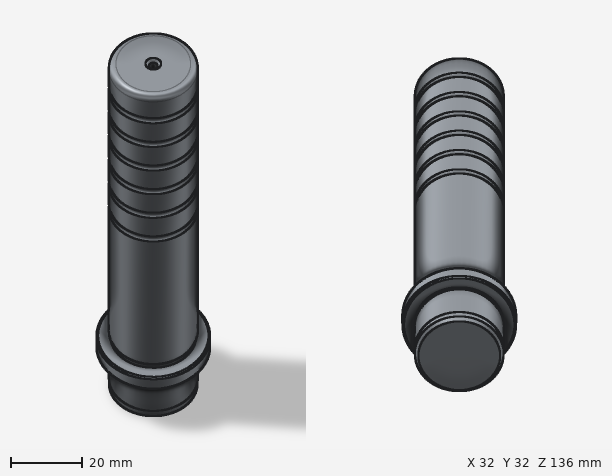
import cadquery as cq
import math

length = 136.0
shaft_radius = 12.5
top_fillet = 2.0

groove_count = 6
groove_pitch = 10.0
groove_half_width = 1.1
groove_depth = 0.44

flange_diameter = 32.0
flange_bottom = 16.0
flange_thickness = 5.0
flange_chamfer = 0.5

upper_neck_depth = 0.4
lower_neck_depth = 0.5
upper_neck_height = 2.0
lower_neck_height = 1.1
upper_neck_taper = 0.7
lower_neck_taper = 0.3

lead_height = 3.3
lead_depth = 0.04
bottom_chamfer = 1.0

hole_mouth_radius = 2.2
hole_radius = 1.2
hole_cone_angle = 90.0
hole_depth = 4.1
drill_point_angle = 118.0


def cone_height(radial_change, included_angle):
    """Axial height of a cone over a given change of radius."""
    return radial_change / math.tan(math.radians(included_angle / 2))


def make_pin():
    """Turned body with flange, relief necks and lead-in at the bottom."""
    flange_radius = flange_diameter / 2
    flange_top = flange_bottom + flange_thickness
    upper_neck_radius = shaft_radius - upper_neck_depth
    lower_neck_radius = shaft_radius - lower_neck_depth
    lead_radius = shaft_radius - lead_depth
    lower_neck_start = flange_bottom - lower_neck_height
    upper_neck_end = flange_top + upper_neck_height
    outline = [
        (0, 0),
        (lead_radius - bottom_chamfer, 0),
        (lead_radius, bottom_chamfer),
        (lead_radius, lead_height),
        (shaft_radius, lead_height),
        (shaft_radius, lower_neck_start),
        (lower_neck_radius, lower_neck_start),
        (lower_neck_radius, flange_bottom - lower_neck_taper),
        (shaft_radius, flange_bottom),
        (flange_radius - flange_chamfer, flange_bottom),
        (flange_radius, flange_bottom + flange_chamfer),
        (flange_radius, flange_top - flange_chamfer),
        (flange_radius - flange_chamfer, flange_top),
        (upper_neck_radius, flange_top),
        (upper_neck_radius, upper_neck_end - upper_neck_taper),
        (shaft_radius, upper_neck_end),
        (shaft_radius, length),
        (0, length),
    ]
    body = cq.Workplane("XZ").polyline(outline).close().revolve(360, (0, 0), (0, 1))
    return body.faces(">Z").edges().fillet(top_fillet)


def make_groove(height):
    """Ring that cuts one shallow arc groove centred at the given height."""
    return (
        cq.Workplane("XZ")
        .moveTo(shaft_radius, height - groove_half_width)
        .threePointArc(
            (shaft_radius - groove_depth, height),
            (shaft_radius, height + groove_half_width),
        )
        .close()
        .revolve(360, (0, 0), (0, 1))
    )


def make_centre_hole():
    """Countersunk blind hole with a conical drill point."""
    countersink = cone_height(hole_mouth_radius - hole_radius, hole_cone_angle)
    point = cone_height(hole_radius, drill_point_angle)
    outline = [
        (0, length),
        (hole_mouth_radius, length),
        (hole_radius, length - countersink),
        (hole_radius, length - hole_depth),
        (0, length - hole_depth - point),
    ]
    return cq.Workplane("XZ").polyline(outline).close().revolve(360, (0, 0), (0, 1))


result = make_pin()
for index in range(groove_count):
    result = result.cut(make_groove(length - (index + 1) * groove_pitch))
result = result.cut(make_centre_hole())